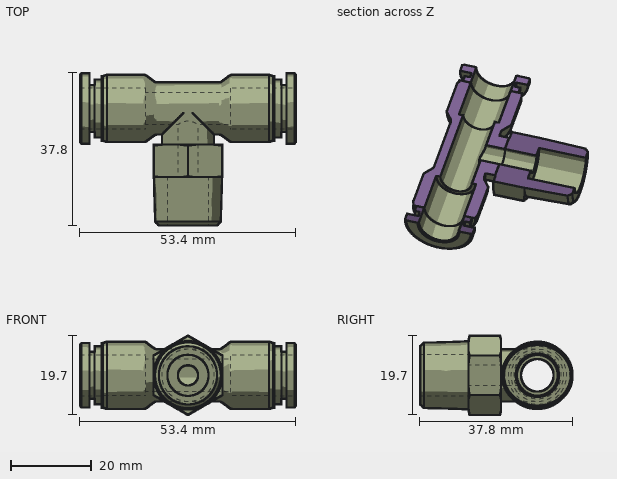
import cadquery as cq


run_length = 53.4

half_run = run_length / 2

collar_length = 5.25
flange_thickness = 2.35
neck_length = 1.25
flange_width = 17.5
flange_height = 16.0
flange_chamfer_axial = 0.4
flange_chamfer_radial = 0.5
neck_diameter = 11.7
ring_diameter = 14.4
collar_bore = 10.15
collar_bore_chamfer = 0.295

half_body = half_run - collar_length
socket_diameter = 16.7
lip_diameter = 16.1
lip_length = 0.45
lip_taper_length = 0.95
tube_diameter = 13.0
shoulder_outer = 10.55
shoulder_length = 2.5
shoulder_blend_radius = 1.05
tube_socket_bore = 10.1
through_bore = 8.0
branch_bore = 5.0

hex_start = 8.95
hex_length = 8.05
stud_end = 29.0
hex_corner_diameter = 19.65
hex_face_diameter = 17.85
hex_chamfer_length = 0.25
thread_root_diameter = 17.0
thread_taper = 1 / 16
thread_tip_diameter = 14.4
thread_tip_chamfer = 0.95
stud_bore = 10.2

hex_end = hex_start + hex_length
thread_length = stud_end - hex_end


def branch_plane(distance):
    """Plane square to the branch, facing outward along -Y."""
    return cq.Workplane("XZ", origin=(0, -distance, 0))


def make_run():
    """Solid of revolution along X, with a socket at each end."""
    lip_end = half_body - lip_length
    socket_start = lip_end - lip_taper_length
    shoulder_inner = shoulder_outer - shoulder_length
    right_half = [
        (shoulder_inner, tube_diameter / 2),
        (shoulder_outer, socket_diameter / 2),
        (socket_start, socket_diameter / 2),
        (lip_end, lip_diameter / 2),
        (half_body, lip_diameter / 2),
        (half_body, 0),
    ]
    left_half = [(-x, radius) for x, radius in reversed(right_half)]
    run = cq.Workplane("XY").polyline(left_half + right_half).close()
    run = run.revolve(360, (0, 0, 0), (1, 0, 0))
    zone_limit = shoulder_outer + shoulder_blend_radius
    shoulder_zone = cq.selectors.BoxSelector(
        (-zone_limit, -socket_diameter, -socket_diameter),
        (zone_limit, socket_diameter, socket_diameter),
    )
    return run.edges("%CIRCLE").edges(shoulder_zone).fillet(shoulder_blend_radius)


def make_tee_body():
    """Run with its stem, bored through and opened for a tube at each end."""
    stem = branch_plane(0).circle(tube_diameter / 2).extrude(hex_start)
    body = make_run().union(stem)
    bore = cq.Workplane("YZ").circle(through_bore / 2).extrude(half_body, both=True)
    branch = branch_plane(0).circle(branch_bore / 2).extrude(hex_start)
    body = body.cut(bore).cut(branch)
    socket_depth = half_body - shoulder_outer
    for side in (-1, 1):
        socket = (
            cq.Workplane("YZ", origin=(side * shoulder_outer, 0, 0))
            .circle(tube_socket_bore / 2)
            .extrude(side * socket_depth)
        )
        body = body.cut(socket)
    return body


def make_collar(side):
    """Release collar with an oval flange; side is -1 or 1 along X."""
    flange = (
        cq.Workplane("YZ", origin=(half_run, 0, 0))
        .ellipse(flange_width / 2, flange_height / 2)
        .extrude(-flange_thickness)
        .faces(">X")
        .chamfer(flange_chamfer_axial, flange_chamfer_radial)
    )
    neck = (
        cq.Workplane("YZ", origin=(half_body, 0, 0))
        .circle(neck_diameter / 2)
        .extrude(collar_length - flange_thickness)
    )
    ring = (
        cq.Workplane("YZ", origin=(half_body, 0, 0))
        .circle(ring_diameter / 2)
        .extrude(collar_length - flange_thickness - neck_length)
    )
    bore = (
        cq.Workplane("YZ", origin=(half_body, 0, 0))
        .circle(collar_bore / 2)
        .extrude(collar_length)
    )
    collar = flange.union(neck).union(ring).cut(bore)
    mouth = cq.selectors.RadiusNthSelector(0)
    collar = collar.faces(">X").edges("%CIRCLE").edges(mouth).chamfer(collar_bore_chamfer)
    return collar if side > 0 else collar.mirror("YZ")


def make_hexagon():
    """Hexagon with corners on Z and its corners chamfered at both ends."""
    hexagon = (
        branch_plane(hex_start)
        .transformed(rotate=(0, 0, 90))
        .polygon(6, hex_corner_diameter)
        .extrude(hex_length)
    )
    face_radius = hex_face_diameter / 2
    chamfer_radial = hex_corner_diameter / 2 - face_radius
    apex_radius = face_radius + chamfer_radial * (hex_length / 2) / hex_chamfer_length
    envelope = (
        cq.Workplane("XY")
        .polyline([
            (0, -hex_start),
            (face_radius, -hex_start),
            (apex_radius, -hex_start - hex_length / 2),
            (face_radius, -hex_end),
            (0, -hex_end),
        ])
        .close()
        .revolve(360, (0, 0, 0), (0, 1, 0))
    )
    return hexagon.intersect(envelope)


def make_stud():
    """Hexagon and tapered thread blank, with a wide bore narrowing at the hexagon."""
    taper_length = thread_length - thread_tip_chamfer
    chamfer_diameter = thread_root_diameter - thread_taper * taper_length
    thread = (
        cq.Workplane("XY")
        .polyline([
            (0, -hex_end),
            (thread_root_diameter / 2, -hex_end),
            (chamfer_diameter / 2, -stud_end + thread_tip_chamfer),
            (thread_tip_diameter / 2, -stud_end),
            (0, -stud_end),
        ])
        .close()
        .revolve(360, (0, 0, 0), (0, 1, 0))
    )
    wide_bore = branch_plane(hex_end).circle(stud_bore / 2).extrude(thread_length)
    narrow_bore = branch_plane(hex_start).circle(branch_bore / 2).extrude(hex_length)
    return make_hexagon().union(thread).cut(wide_bore).cut(narrow_bore)


tee_body = make_tee_body()
stud = make_stud()
collars = [make_collar(side) for side in (-1, 1)]

result = cq.Compound.makeCompound([
    tee_body.val(),
    stud.val(),
    *[collar.val() for collar in collars],
])